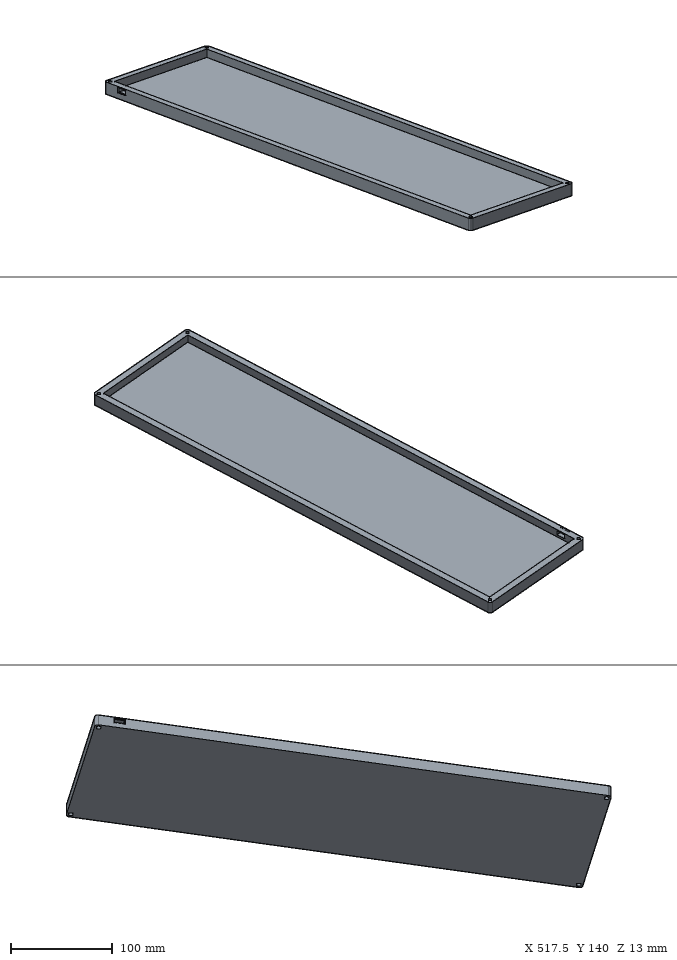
import cadquery as cq

length = 517.5
width = 140.0
height = 13.0
wall = 7.0
floor_thickness = 4.0
corner_radius = 3.0

hole_diameter = 3.4
counterbore_diameter = 4.5
counterbore_depth = 4.5
hole_inset = 4.0

recess_start = 19.0
recess_length = 11.0
recess_bottom = 6.0
recess_height = 5.5
recess_depth = 1.5
window_margin = 0.5


def make_tray():
    body = cq.Workplane("XY").box(length, width, height, centered=(True, True, False))
    body = body.edges("|Z").fillet(corner_radius)
    cavity = (
        cq.Workplane("XY")
        .box(length - 2 * wall, width - 2 * wall, height, centered=(True, True, False))
        .translate((0, 0, floor_thickness))
    )
    return body.cut(cavity)


def make_corner_holes():
    spacing_x = length - 2 * hole_inset
    spacing_y = width - 2 * hole_inset
    corners = cq.Workplane("XY").rect(spacing_x, spacing_y, forConstruction=True).vertices()
    holes = corners.circle(hole_diameter / 2).extrude(height)
    counterbores = corners.circle(counterbore_diameter / 2).extrude(counterbore_depth)
    return holes.union(counterbores)


def make_window():
    recess = cq.Workplane("XY").box(recess_length, recess_depth, recess_height, centered=False)
    opening = (
        cq.Workplane("XY")
        .box(recess_length - 2 * window_margin, wall, recess_height - 2 * window_margin, centered=False)
        .translate((window_margin, 0, window_margin))
    )
    return recess.union(opening).translate((recess_start - length / 2, -width / 2, recess_bottom))


result = make_tray().cut(make_corner_holes()).cut(make_window())